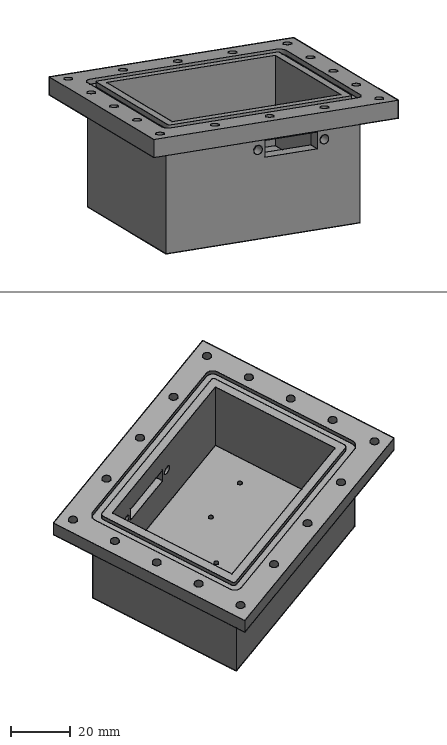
import cadquery as cq

flange_length_x = 76.2
flange_length_y = 92.075
total_height = 44.45
flange_thickness = 6.35
flange_overhang = 9.525
body_length_x = flange_length_x - 2 * flange_overhang
body_length_y = flange_length_y - 2 * flange_overhang

wall = 4.7625
cavity_depth = 31.75
cavity_length_x = body_length_x - 2 * wall
cavity_length_y = body_length_y - 2 * wall
floor_z = total_height - cavity_depth

lip_width = 2.86
groove_width = 2.86
groove_depth = 1.78
groove_inner_radius = 1.0
groove_outer_radius = 2.7

screw_hole_diameter = 2.95
screw_hole_inset = 4.7625
screw_spaces_per_side = 4
screw_span_x = flange_length_x - 2 * screw_hole_inset
screw_span_y = flange_length_y - 2 * screw_hole_inset

connector_y = 10.6
connector_z = 31.4
connector_width = 19.7
connector_height = 5.9
connector_hole_spacing = 24.99
connector_hole_diameter = 3.2

floor_hole_diameter = 1.59
floor_hole_depth = 6.35
floor_hole_centers = [(-3.4, 9.9), (8.6, -5.4), (8.3, -22.8)]


def block(length_x, length_y, height, bottom_z):
    """Box centred on the Z axis with its base at bottom_z."""
    base = cq.Workplane("XY").workplane(offset=bottom_z)
    return base.rect(length_x, length_y).extrude(height)


def flanged_box():
    body = block(body_length_x, body_length_y, total_height, 0)
    flange = block(flange_length_x, flange_length_y, flange_thickness, total_height - flange_thickness)
    cavity = block(cavity_length_x, cavity_length_y, cavity_depth, floor_z)
    return body.union(flange).cut(cavity)


def rounded_groove_block(offset_from_cavity, corner_radius):
    """Groove-deep block reaching the given distance outside the cavity walls."""
    length_x = cavity_length_x + 2 * offset_from_cavity
    length_y = cavity_length_y + 2 * offset_from_cavity
    solid = block(length_x, length_y, groove_depth, total_height - groove_depth)
    return solid.edges("|Z").fillet(corner_radius)


def seal_groove():
    outside = rounded_groove_block(lip_width + groove_width, groove_outer_radius)
    return outside.cut(rounded_groove_block(lip_width, groove_inner_radius))


def screw_holes():
    pitch_x = screw_span_x / screw_spaces_per_side
    pitch_y = screw_span_y / screw_spaces_per_side
    edge_indices = (0, screw_spaces_per_side)
    centers = []
    for column in range(screw_spaces_per_side + 1):
        for row in range(screw_spaces_per_side + 1):
            if column in edge_indices or row in edge_indices:
                x = column * pitch_x - screw_span_x / 2
                y = row * pitch_y - screw_span_y / 2
                centers.append((x, y))
    top = cq.Workplane("XY").workplane(offset=total_height)
    return top.pushPoints(centers).circle(screw_hole_diameter / 2).extrude(-flange_thickness)


def connector_opening():
    inner_wall_x = cavity_length_x / 2
    plane = cq.Workplane("YZ", origin=(inner_wall_x, connector_y, connector_z))
    window = plane.rect(connector_width, connector_height).extrude(wall)
    hole_centers = [(side * connector_hole_spacing / 2, 0) for side in (-1, 1)]
    holes = plane.pushPoints(hole_centers).circle(connector_hole_diameter / 2).extrude(wall)
    return window.union(holes)


def floor_holes():
    cavity_floor = cq.Workplane("XY").workplane(offset=floor_z)
    circles = cavity_floor.pushPoints(floor_hole_centers).circle(floor_hole_diameter / 2)
    return circles.extrude(-floor_hole_depth)


result = (
    flanged_box()
    .cut(seal_groove())
    .cut(screw_holes())
    .cut(connector_opening())
    .cut(floor_holes())
)